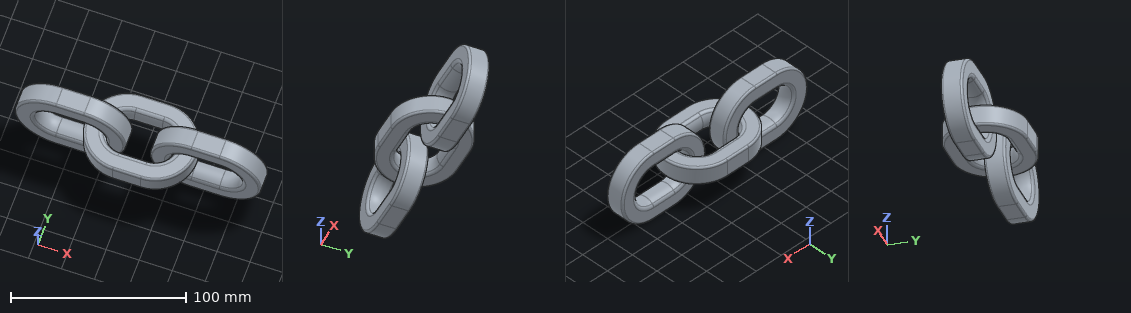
import cadquery as cq
import math

link_count = 3
chain_length = 149.0
link_width = 50.0
opening_width = 24.0
outer_edge_radius = 1.3

first_crown_radius = 11.3
first_blend_radius = 2.5
other_crown_radius = 8.8
other_blend_radius = 3.0

wall_width = (link_width - opening_width) / 2
half_thickness = wall_width / 2
outer_radius = link_width / 2
opening_radius = opening_width / 2

link_pitch = (chain_length - 2 * wall_width) / link_count
straight_length = link_pitch - opening_width


def arc_middle(center, radius, angle_from, angle_to):
    """Middle point of a circular arc given by its centre, radius and end angles."""
    angle = (angle_from + angle_to) / 2
    return center[0] + radius * math.cos(angle), center[1] + radius * math.sin(angle)


def wall_section(crown_radius, blend_radius):
    """Cross-section of the link wall, in the plane where the +X end meets the straight sides.

    The first coordinate runs outward from the end centre, the second across the thickness.
    """
    crown_center_x = opening_radius + crown_radius
    blend_center_y = half_thickness - blend_radius
    center_distance = crown_radius - blend_radius
    blend_center_x = crown_center_x - math.sqrt(center_distance**2 - blend_center_y**2)
    blend_center = (blend_center_x, blend_center_y)

    tangent_angle = math.asin(blend_center_y / center_distance)
    crown_end_x = crown_center_x - crown_radius * math.cos(tangent_angle)
    crown_end_y = crown_radius * math.sin(tangent_angle)
    blend_middle = arc_middle(blend_center, blend_radius, math.pi / 2, math.pi - tangent_angle)

    corner_x = outer_radius - outer_edge_radius
    corner_y = half_thickness - outer_edge_radius
    corner_middle = arc_middle((corner_x, corner_y), outer_edge_radius, 0, math.pi / 2)

    return (
        cq.Workplane("YZ", origin=(straight_length / 2, 0, 0))
        .moveTo(crown_end_x, -crown_end_y)
        .threePointArc((opening_radius, 0), (crown_end_x, crown_end_y))
        .threePointArc(blend_middle, (blend_center_x, half_thickness))
        .lineTo(corner_x, half_thickness)
        .threePointArc(corner_middle, (outer_radius, corner_y))
        .lineTo(outer_radius, -corner_y)
        .threePointArc((corner_middle[0], -corner_middle[1]), (corner_x, -half_thickness))
        .lineTo(blend_center_x, -half_thickness)
        .threePointArc((blend_middle[0], -blend_middle[1]), (crown_end_x, -crown_end_y))
        .close()
    )


def flat_link(crown_radius, blend_radius):
    """One link lying in the XY plane, centred on the origin."""
    right_end = wall_section(crown_radius, blend_radius).revolve(180, (0, 0, 0), (0, -1, 0))
    back_side = wall_section(crown_radius, blend_radius).extrude(-straight_length)
    left_end = right_end.mirror("YZ")
    front_side = back_side.mirror("XZ")
    return right_end.union(back_side).union(left_end).union(front_side)


links = []
for index in range(link_count):
    if index == 0:
        link = flat_link(first_crown_radius, first_blend_radius)
    else:
        link = flat_link(other_crown_radius, other_blend_radius)
    if index % 2 == 0:
        link = link.rotate((0, 0, 0), (1, 0, 0), 90)
    x_center = (index - (link_count - 1) / 2) * link_pitch
    links.append(link.translate((x_center, 0, 0)).solids().val())

result = cq.Compound.makeCompound(links)